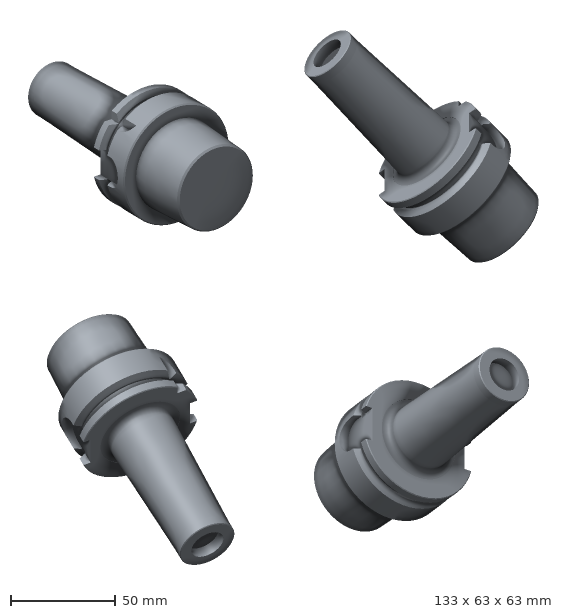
import cadquery as cq
import math

total_length = 133.0
tip_land_end = 4.9
neck_taper_end = 71.0
neck_fillet_start = 72.0
flange_front = 75.0
flange_back = 101.1

tip_radius = 29.0 / 2
neck_radius = 33.8 / 2
relief_radius = 21.1
flange_radius = 63.0 / 2
shank_root_radius = 24.2
shank_end_radius = 22.6

neck_fillet = 3.3
tip_chamfer = 0.4
flange_front_chamfer = 0.4
flange_back_chamfer = 0.7
shank_chamfer = 0.9

groove_mouth_start = 79.4
groove_mouth_end = 86.3
groove_bottom_start = 81.0
groove_bottom_end = 84.3
groove_step_radius = 28.6
groove_floor_radius = 27.5

bore_diameter = 17.0
bore_depth = 5.6

slot_end = 96.2
front_slot_width = 16.0
front_slot_floor = 26.3
rear_slot_width = 18.1
rear_slot_floor = 26.5
slot_corner_radius = front_slot_width / 2

notch_inner = 19.8
notch_floor_end = 87.6
notch_runout_radius = 8.5


def turned_body():
    """Tip, tapered neck, grooved flange and tapered shank as one revolved profile."""
    fillet_end = neck_fillet_start + neck_fillet
    fillet_top_radius = neck_radius + neck_fillet
    arc_mid = (
        neck_fillet_start + neck_fillet * math.sin(math.pi / 4),
        fillet_top_radius - neck_fillet * math.cos(math.pi / 4),
    )
    profile = (
        cq.Workplane("XY")
        .moveTo(0, 0)
        .lineTo(0, tip_radius - tip_chamfer)
        .lineTo(tip_chamfer, tip_radius)
        .lineTo(tip_land_end, tip_radius)
        .lineTo(neck_taper_end, neck_radius)
        .lineTo(neck_fillet_start, neck_radius)
        .threePointArc(arc_mid, (fillet_end, fillet_top_radius))
        .lineTo(fillet_end, relief_radius)
        .lineTo(flange_front, relief_radius)
        .lineTo(flange_front, flange_radius - flange_front_chamfer)
        .lineTo(flange_front + flange_front_chamfer, flange_radius)
        .lineTo(groove_mouth_start, flange_radius)
        .lineTo(groove_bottom_start, groove_step_radius)
        .lineTo(groove_bottom_start, groove_floor_radius)
        .lineTo(groove_bottom_end, groove_floor_radius)
        .lineTo(groove_bottom_end, groove_step_radius)
        .lineTo(groove_mouth_end, flange_radius)
        .lineTo(flange_back - flange_back_chamfer, flange_radius)
        .lineTo(flange_back, flange_radius - flange_back_chamfer)
        .lineTo(flange_back, shank_root_radius)
        .lineTo(total_length - shank_chamfer, shank_end_radius)
        .lineTo(total_length, shank_end_radius - shank_chamfer)
        .lineTo(total_length, 0)
        .close()
    )
    return profile.revolve(360, (0, 0, 0), (1, 0, 0))


def tip_bore():
    return cq.Workplane("YZ").circle(bore_diameter / 2).extrude(bore_depth)


def drive_slot(width, floor, side):
    """Cutter for a round-ended slot on the +Y (side = 1) or -Y (side = -1) flank."""
    half_width = width / 2
    half_flat = half_width - slot_corner_radius
    arc_start = slot_end - slot_corner_radius
    arc_offset = slot_corner_radius * math.sin(math.pi / 4)
    outline = (
        cq.Workplane("XZ", origin=(0, side * floor, 0))
        .moveTo(flange_front, -half_width)
        .lineTo(arc_start, -half_width)
        .threePointArc((arc_start + arc_offset, -half_flat - arc_offset), (slot_end, -half_flat))
    )
    if half_flat > 0:
        outline = outline.lineTo(slot_end, half_flat)
    outline = (
        outline
        .threePointArc((arc_start + arc_offset, half_flat + arc_offset), (arc_start, half_width))
        .lineTo(flange_front, half_width)
        .close()
    )
    return outline.extrude(-side * (flange_radius - floor))


def orientation_notch():
    """Square-cornered cut on the -Y, +Z edge, running out along an arc."""
    height = flange_radius - notch_inner
    arc_center_z = notch_inner + notch_runout_radius
    notch_end = notch_floor_end + notch_runout_radius
    arc_mid = (
        notch_floor_end + notch_runout_radius * math.sin(math.pi / 4),
        arc_center_z - notch_runout_radius * math.cos(math.pi / 4),
    )
    return (
        cq.Workplane("XZ", origin=(0, -notch_inner, 0))
        .moveTo(flange_front, notch_inner)
        .lineTo(notch_floor_end, notch_inner)
        .threePointArc(arc_mid, (notch_end, arc_center_z))
        .lineTo(notch_end, flange_radius)
        .lineTo(flange_front, flange_radius)
        .close()
        .extrude(height)
    )


result = (
    turned_body()
    .cut(tip_bore())
    .cut(drive_slot(front_slot_width, front_slot_floor, -1))
    .cut(drive_slot(rear_slot_width, rear_slot_floor, 1))
    .cut(orientation_notch())
)